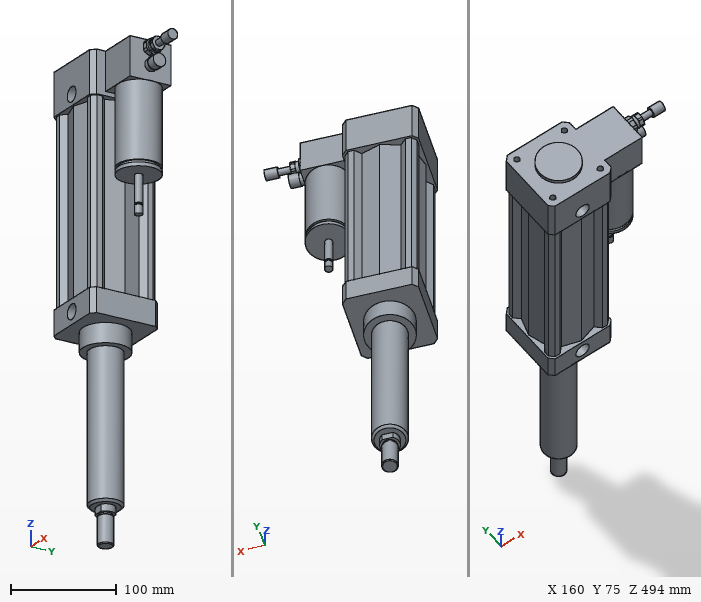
import cadquery as cq
import math


top_z = 494.0
head_top_z = 490.0
head_bottom_z = 444.0
flange_top_z = 246.0
flange_bottom_z = 219.5
collar_bottom_z = 198.5
rod_shoulder_z = 39.5
neck_bottom_z = 32.0

head_width = 75.0
head_chamfer = 5.0
cap_diameter = 45.0
collar_diameter = 50.0
barrel_half = 35.5
barrel_corner = 4.5
groove_outer = 25.0
groove_depth = 6.0
groove_inner = groove_outer - groove_depth

screw_hole_diameter = 6.0
screw_hole_offset = 28.0
screw_hole_depth = 10.0
port_diameter = 16.0
port_depth = 10.0
port_tip_depth = 4.0
head_port_z = 456.0
flange_port_z = (flange_top_z + flange_bottom_z) / 2

motor_x = 60.5
motor_diameter = 45.0
motor_groove_diameter = 41.0
motor_groove_top_z = 366.5
motor_groove_bottom_z = 363.5
motor_bottom_z = 359.5
cable_diameter = 8.0
cable_bottom_z = 319.0
cable_groove_diameter = 6.0
cable_groove_z = 328.5
cable_groove_width = 1.5

block_width = 45.5
block_end_x = 82.0
block_bottom_z = 448.5

gland_z = 482.0
gland_nut_diameter = 17.0
gland_nut_across = 16.0
gland_nut_angle = 30
gland_nut_end_x = 88.0
gland_neck_diameter = 13.0
gland_neck_end_x = 92.0
gland_ring_diameter = 14.5
gland_ring_across = 13.5
gland_ring_angle = 0
gland_ring_end_x = 97.0
lead_diameter = 7.0
lead_end_x = 109.5
plug_diameter = 11.0
plug_end_x = 122.5
socket_z = 464.5
socket_neck_diameter = 13.0
socket_neck_end_x = 88.0
socket_diameter = 14.0
socket_end_x = 98.5

rod_diameter = 35.0
rod_chamfer = 2.5
neck_diameter = 20.0
neck_across = 17.0
thread_diameter = 16.0
thread_chamfer = 1.0
undercut_diameter = 14.0
undercut_length = 2.0


def cylinder_z(diameter, z_low, z_high, x=0):
    """Vertical cylinder between two levels."""
    return cq.Workplane("XY", origin=(x, 0, z_low)).circle(diameter / 2).extrude(z_high - z_low)


def cylinder_x(diameter, x_low, x_high, z):
    """Cylinder along X at height z."""
    return cq.Workplane("YZ", origin=(x_low, 0, z)).circle(diameter / 2).extrude(x_high - x_low)


def nut_x(diameter, across, x_low, x_high, turn_angle):
    """Hexagon along X at the gland height, with rounded corners; angle 0 has flats on +Z and -Z."""
    hexagon = (
        cq.Workplane("YZ", origin=(x_low, 0, gland_z))
        .transformed(rotate=(0, 0, turn_angle))
        .polygon(6, across / math.cos(math.pi / 6))
        .extrude(x_high - x_low)
    )
    return hexagon.intersect(cylinder_x(diameter, x_low, x_high, gland_z))


def chamfered_block(z_low, z_high):
    """Square block with chamfered upright edges."""
    block = cq.Workplane("XY", origin=(0, 0, z_low)).rect(head_width, head_width).extrude(z_high - z_low)
    return block.edges("|Z").chamfer(head_chamfer)


def barrel():
    """Extruded tube: each side has two V grooves that meet a ridge in its middle."""
    corner = barrel_half - barrel_corner
    side = [
        (-corner, -barrel_half),
        (-groove_outer, -barrel_half),
        (-groove_inner, -barrel_half + groove_depth),
        (0, -barrel_half),
        (groove_inner, -barrel_half + groove_depth),
        (groove_outer, -barrel_half),
        (corner, -barrel_half),
    ]
    length = head_bottom_z - flange_top_z
    outline = []
    for quarter in range(4):
        turn = math.radians(90 * quarter)
        for x, y in side:
            turned_x = x * math.cos(turn) - y * math.sin(turn)
            turned_y = x * math.sin(turn) + y * math.cos(turn)
            outline.append((turned_x, turned_y))
    return cq.Workplane("XY", origin=(0, 0, flange_top_z)).polyline(outline).close().extrude(length)


def port(z):
    """Blind drilled hole with a conical end, entering from the -Y face."""
    radius = port_diameter / 2
    front = -head_width / 2
    half_section = [
        (0, front),
        (radius, front),
        (radius, front + port_depth),
        (0, front + port_depth + port_tip_depth),
    ]
    return cq.Workplane("XY", origin=(0, 0, z)).polyline(half_section).close().revolve(360, (0, 0), (0, 1))


def gland():
    """Cable gland with a lead and a plug."""
    nut = nut_x(gland_nut_diameter, gland_nut_across, block_end_x, gland_nut_end_x, gland_nut_angle)
    neck = cylinder_x(gland_neck_diameter, gland_nut_end_x, gland_neck_end_x, gland_z)
    ring = nut_x(gland_ring_diameter, gland_ring_across, gland_neck_end_x, gland_ring_end_x, gland_ring_angle)
    lead = cylinder_x(lead_diameter, gland_ring_end_x, lead_end_x, gland_z)
    plug = cylinder_x(plug_diameter, lead_end_x, plug_end_x, gland_z)
    return nut.union(neck).union(ring).union(lead).union(plug)


def socket():
    """Plain round socket below the gland."""
    neck = cylinder_x(socket_neck_diameter, block_end_x, socket_neck_end_x, socket_z)
    return neck.union(cylinder_x(socket_diameter, socket_neck_end_x, socket_end_x, socket_z))


def make_housing():
    """Head, side block, barrel, flange and connectors."""
    side_block = (
        cq.Workplane("XY", origin=(block_end_x / 2, 0, block_bottom_z))
        .rect(block_end_x, block_width)
        .extrude(head_top_z - block_bottom_z)
    )
    body = chamfered_block(head_bottom_z, head_top_z).union(side_block)
    body = body.union(cylinder_z(cap_diameter, head_top_z, top_z))
    body = body.union(barrel())
    body = body.union(chamfered_block(flange_bottom_z, flange_top_z))
    body = body.union(cylinder_z(collar_diameter, collar_bottom_z, flange_bottom_z))
    body = body.union(gland()).union(socket())
    for z in (head_port_z, flange_port_z):
        body = body.cut(port(z))
    screw_holes = (
        cq.Workplane("XY", origin=(0, 0, head_top_z))
        .rect(2 * screw_hole_offset, 2 * screw_hole_offset, forConstruction=True)
        .vertices()
        .circle(screw_hole_diameter / 2)
        .extrude(-screw_hole_depth)
    )
    return body.cut(screw_holes)


def make_motor():
    """Motor hanging below the side block, with its cable."""
    body = cylinder_z(motor_diameter, motor_groove_top_z, block_bottom_z, motor_x)
    body = body.union(cylinder_z(motor_groove_diameter, motor_groove_bottom_z, motor_groove_top_z, motor_x))
    body = body.union(cylinder_z(motor_diameter, motor_bottom_z, motor_groove_bottom_z, motor_x))
    groove_top_z = cable_groove_z + cable_groove_width
    body = body.union(cylinder_z(cable_diameter, groove_top_z, motor_bottom_z, motor_x))
    body = body.union(cylinder_z(cable_groove_diameter, cable_groove_z, groove_top_z, motor_x))
    return body.union(cylinder_z(cable_diameter, cable_bottom_z, cable_groove_z, motor_x))


def make_piston_rod():
    """Rod with a neck with two wrench flats and a threaded end."""
    undercut_z = neck_bottom_z - undercut_length
    rod = cylinder_z(rod_diameter, rod_shoulder_z, collar_bottom_z).faces("<Z").chamfer(rod_chamfer)
    neck_length = rod_shoulder_z - neck_bottom_z
    flats = (
        cq.Workplane("XY", origin=(0, 0, neck_bottom_z))
        .rect(neck_diameter, neck_across)
        .extrude(neck_length)
    )
    neck = cylinder_z(neck_diameter, neck_bottom_z, rod_shoulder_z).intersect(flats)
    undercut = cylinder_z(undercut_diameter, undercut_z, neck_bottom_z)
    thread = cylinder_z(thread_diameter, 0, undercut_z).faces("<Z").chamfer(thread_chamfer)
    return rod.union(neck).union(undercut).union(thread)


housing = make_housing()
motor = make_motor()
piston_rod = make_piston_rod()
result = cq.Compound.makeCompound([housing.val(), motor.val(), piston_rod.val()])